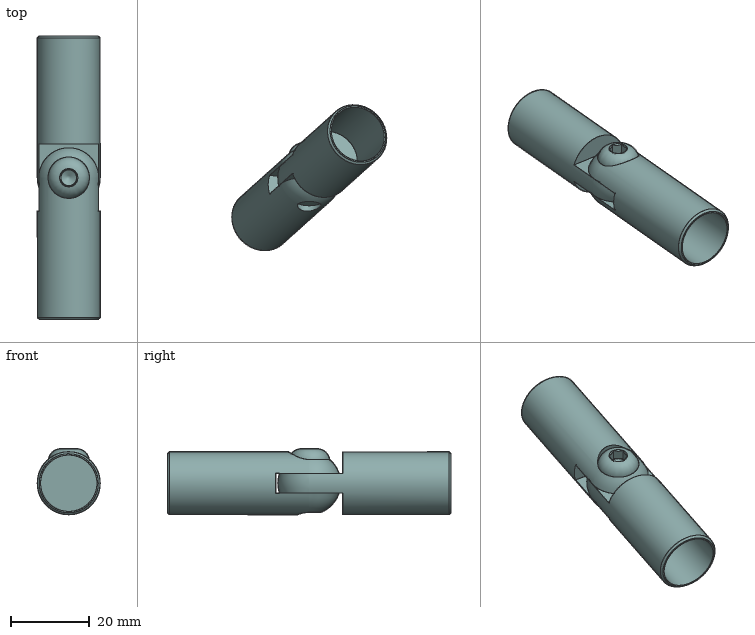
import cadquery as cq
import math

total_length = 72.0
arm_radius = 8.0
half_length = total_length / 2

end_chamfer = 0.5
bore_radius = 7.15
bore_depth = 20.0

shoulder_distance = 8.5
tongue_thickness = 5.0

shank_radius = 3.0
shank_length = 12.0
head_radius = 5.25
dome_radius = 3.3
dome_centre_radius = head_radius - dome_radius
head_seat_z = 5.5

socket_across_flats = 4.0
socket_flat_radius = socket_across_flats / 2
socket_corner_radius = socket_flat_radius / math.cos(math.pi / 6)
socket_depth = 2.8
socket_cone_depth = socket_flat_radius * math.tan(math.pi / 6)

head_top_z = head_seat_z + math.sqrt(dome_radius**2 - (socket_corner_radius - dome_centre_radius) ** 2)


def vertical_cylinder(radius, bottom_z, top_z):
    """Round bar on the hinge axis between two heights."""
    return cq.Workplane("XY").workplane(offset=bottom_z).circle(radius).extrude(top_z - bottom_z)


def hollow_arm():
    """Arm running from the hinge axis to -Y: ball end at the origin, chamfered bored tube end."""
    tube = cq.Workplane("XZ").circle(arm_radius).extrude(half_length)
    tube = tube.faces("<Y").edges().chamfer(end_chamfer)
    bore = (
        cq.Workplane("XZ")
        .workplane(offset=half_length - bore_depth)
        .circle(bore_radius)
        .extrude(bore_depth)
    )
    ball = cq.Workplane("XY").sphere(arm_radius)
    return tube.union(ball).cut(bore)


def joint_slab():
    """Flat slab holding the tongue, reaching one shoulder distance to each side of the axis."""
    return cq.Workplane("XY").box(2 * arm_radius, 2 * shoulder_distance, tongue_thickness)


def make_fork_arm():
    """Arm towards -Y with a slot for the tongue and a seat for the screw head."""
    shank_hole = vertical_cylinder(shank_radius, -arm_radius, arm_radius)
    head_recess = vertical_cylinder(head_radius, head_seat_z, head_top_z)
    return hollow_arm().cut(joint_slab()).cut(shank_hole).cut(head_recess)


def make_tongue_arm():
    """Arm towards +Y, cut back to its shoulder above and below a round-ended tongue."""
    joint_zone = cq.Workplane("XY").box(2 * arm_radius, 2 * shoulder_distance, 2 * arm_radius)
    shank_hole = vertical_cylinder(shank_radius, -arm_radius, arm_radius)
    arm = hollow_arm().rotate((0, 0, 0), (0, 0, 1), 180)
    return arm.cut(joint_zone.cut(joint_slab())).cut(shank_hole)


def downward_cone(radius, height, base_z):
    """Cone on the hinge axis with its base at base_z and its point below."""
    base_centre = cq.Vector(0, 0, base_z)
    return cq.Workplane("XY").add(cq.Solid.makeCone(radius, 0, height, base_centre, cq.Vector(0, 0, -1)))


def make_socket():
    """Cutter for the hexagon socket: corners on Y, 45 degree lead-in on its rim, conical floor."""
    floor_z = head_top_z - socket_depth
    hexagon = (
        cq.Workplane("XY")
        .workplane(offset=floor_z)
        .polygon(6, 2 * socket_corner_radius)
        .extrude(socket_depth)
        .rotate((0, 0, 0), (0, 0, 1), 90)
    )
    lead_in = downward_cone(socket_corner_radius, socket_corner_radius, head_top_z)
    floor_cone = downward_cone(socket_flat_radius, socket_cone_depth, floor_z)
    return hexagon.union(lead_in).union(floor_cone)


def make_screw():
    """Button-head screw: shank and domed head turned about Z, with a hexagon socket."""
    dome_mid_offset = dome_radius * math.sqrt(0.5)
    dome_mid = (dome_centre_radius + dome_mid_offset, head_seat_z + dome_mid_offset)
    head = (
        cq.Workplane("XZ")
        .moveTo(0, head_seat_z)
        .lineTo(head_radius, head_seat_z)
        .threePointArc(dome_mid, (socket_corner_radius, head_top_z))
        .lineTo(0, head_top_z)
        .close()
        .revolve(360, (0, 0, 0), (0, 1, 0))
    )
    shank = vertical_cylinder(shank_radius, head_seat_z - shank_length, head_seat_z)
    return head.union(shank).cut(make_socket())


fork_arm = make_fork_arm()
tongue_arm = make_tongue_arm()
screw = make_screw()

result = cq.Compound.makeCompound([fork_arm.val(), tongue_arm.val(), screw.val()])